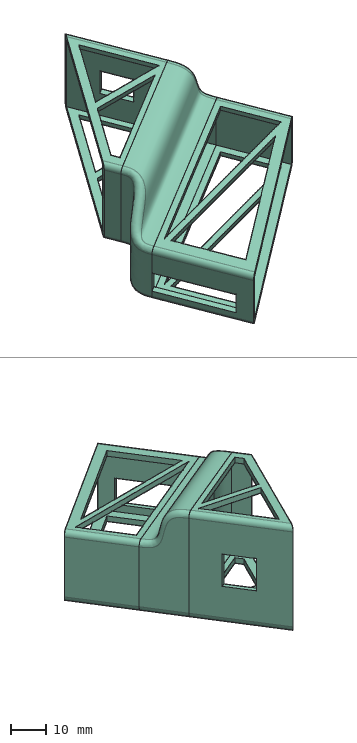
import cadquery as cq

length = 75.9
left_depth = 43.2
right_depth = 59.7
left_height = 33.2
right_height = 22.2
left_joint = 30.9
right_joint = 45.6
wall = 1.75
edge_radius = wall

left_end_run = 25.95
right_end_run = 8.1

step_pull = 5.2

left_back_rail = 3.5
left_front_rail = 4.4
left_end_rail = 3.2
left_strut_foot = 21.8
left_strut_width = 3.7
right_back_rail = 3.7
right_front_rail = 5.2
right_end_rail = 3.35
right_joint_rail = 2.0
right_strut_top = 19.95
right_strut_width = 2.05

square_hole = 10.1
square_hole_x = 10.9
square_hole_z = 11.5
slot_end = 70.65
slot_bottom = 4.0
slot_height = 8.1


def box(x0, x1, y0, y1, z0, z1):
    """Axis-aligned block between the given limits."""
    return cq.Workplane("XY").box(x1 - x0, y1 - y0, z1 - z0, centered=False).translate((x0, y0, z0))


def plan_prism(points):
    """Prism over a plan outline that passes through the roof and floor."""
    return cq.Workplane("XY").polyline(points).close().extrude(left_height)


def tube(x0, x1, depth, height):
    """Straight rectangular sleeve along X with rounded outside edges."""
    outer = box(x0, x1, -depth, 0, 0, height).edges("|X").fillet(edge_radius)
    return outer.cut(box(x0, x1, wall - depth, -wall, wall, height - wall))


def left_end_x(y):
    """X of the left mouth at a given y."""
    return -y * left_end_run / left_depth


def right_end_x(y):
    """X of the right mouth at a given y."""
    return length - right_end_run * (1 + y / right_depth)


def make_left_sleeve():
    body = tube(0, left_joint, left_depth, left_height)
    mouth = [(0, 0), (left_end_x(-left_depth), -left_depth), (left_joint, -left_depth), (left_joint, 0)]
    body = body.intersect(plan_prism(mouth))

    back = -left_back_rail
    front = left_front_rail - left_depth
    side = left_joint - wall
    foot_y = -left_strut_foot
    foot_x = left_end_x(foot_y) + left_end_rail
    back_window = [(left_end_x(back) + left_end_rail, back), (side, back), (foot_x, foot_y)]

    strut_slope = (back - foot_y) / (side - foot_x)
    end_slope = left_depth / left_end_run
    second_foot_x = foot_x + left_strut_width / (strut_slope + end_slope)
    second_foot_y = foot_y - end_slope * (second_foot_x - foot_x)
    front_window = [
        (side, back - left_strut_width),
        (second_foot_x, second_foot_y),
        (left_end_x(front) + left_end_rail, front),
        (side, front),
    ]
    body = body.cut(plan_prism(back_window)).cut(plan_prism(front_window))

    hole = box(square_hole_x, square_hole_x + square_hole, -wall, 0,
               square_hole_z, square_hole_z + square_hole)
    return body.cut(hole)


def make_right_sleeve():
    body = tube(right_joint, length, right_depth, right_height)
    mouth = [(right_joint, 0), (right_end_x(0), 0), (length, -right_depth), (right_joint, -right_depth)]
    body = body.intersect(plan_prism(mouth))

    back = -right_back_rail
    front = right_front_rail - right_depth
    side = right_joint + right_joint_rail
    strut_foot = side + right_strut_width
    strut_top = right_joint + right_strut_top
    strut_slope = (back - front) / (strut_top - side)
    end_slope = right_depth / right_end_run
    end_foot = right_end_x(front) - right_end_rail
    tip_rise = (end_foot - strut_foot) / (1 / strut_slope + 1 / end_slope)
    tip = (strut_foot + tip_rise / strut_slope, front + tip_rise)
    joint_window = [(side, back), (strut_top, back), (side, front)]
    end_window = [(strut_foot, front), tip, (end_foot, front)]
    body = body.cut(plan_prism(joint_window)).cut(plan_prism(end_window))

    slot = box(right_joint, slot_end, -right_depth, wall - right_depth,
               slot_bottom, slot_bottom + slot_height)
    return body.cut(slot)


def make_middle_sleeve():
    """Hollow transition: a smooth S-curved core wrapped in a wall of even thickness."""
    left_y = wall - left_depth
    right_y = wall - right_depth
    left_z = left_height - wall
    right_z = right_height - wall

    def s_curve(start_y, start_z, end_y, end_z):
        """Curve between the joints that leaves and arrives parallel to X."""
        return cq.Edge.makeBezier([
            cq.Vector(left_joint, start_y, start_z),
            cq.Vector(left_joint + step_pull, start_y, start_z),
            cq.Vector(left_joint + 2 * step_pull, start_y, start_z),
            cq.Vector(right_joint - 2 * step_pull, end_y, end_z),
            cq.Vector(right_joint - step_pull, end_y, end_z),
            cq.Vector(right_joint, end_y, end_z),
        ])

    back_bottom = s_curve(-wall, wall, -wall, wall)
    back_top = s_curve(-wall, left_z, -wall, right_z)
    front_top = s_curve(left_y, left_z, right_y, right_z)
    front_bottom = s_curve(left_y, wall, right_y, wall)
    rails = [back_bottom, back_top, front_top, front_bottom]
    sides = [cq.Face.makeRuledSurface(rails[i - 1], rails[i]) for i in range(len(rails))]
    ends = [
        cq.Face.makeFromWires(cq.Wire.makePolygon([rail.positionAt(place) for rail in rails], close=True))
        for place in (0, 1)
    ]
    core = cq.Solid.makeSolid(cq.Shell.makeShell(sides + ends)).fix()
    return cq.Workplane(core).faces("<X or >X").shell(wall)


left_sleeve = make_left_sleeve()
middle_sleeve = make_middle_sleeve()
right_sleeve = make_right_sleeve()

result = cq.Compound.makeCompound([left_sleeve.val(), middle_sleeve.val(), right_sleeve.val()])